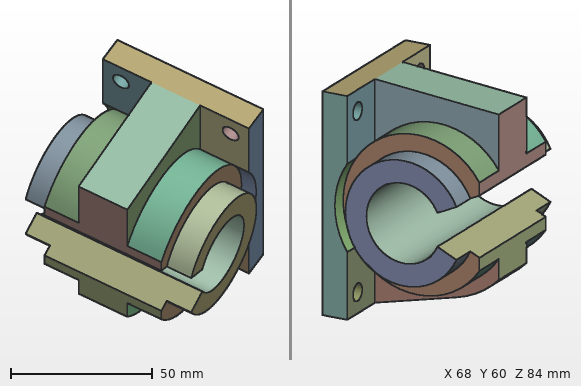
import cadquery as cq
import math


depth = 60.0
axis_to_back = 35.0

plate_width = 60.0
plate_height = 84.0
plate_thickness = 10.0
plate_hole_diameter = 6.6
plate_hole_spacing_x = 45.0
plate_hole_spacing_z = 68.0

bore_radius = 15.0
sleeve_radius = 23.5
sleeve_length = 68.0
collar_radius = 30.0
collar_length = 48.0
slot_half_angle = math.radians(25.0)

web_width = 20.0
web_top_slope = math.radians(5.0)
web_nose_radius = 35.0

screw_hole_diameter = 13.0

back_y = axis_to_back
plate_front_y = back_y - plate_thickness
front_y = back_y - depth
plate_half_height = plate_height / 2


def x_prism(sketch, length):
    """Extrude a YZ-plane outline symmetrically about the X = 0 plane."""
    return sketch.extrude(length / 2, both=True)


def x_cylinder(radius, length):
    return x_prism(cq.Workplane("YZ").circle(radius), length)


def make_plate():
    plate = cq.Workplane("XY").box(plate_width, plate_thickness, plate_height)
    return plate.translate((0, back_y - plate_thickness / 2, 0))


def nose_point(angle):
    return (web_nose_radius * math.cos(angle), web_nose_radius * math.sin(angle))


def make_web():
    """Web with a gently falling top and an underside tangent to a round nose."""
    top_front_z = plate_half_height - (plate_front_y - front_y) * math.tan(web_top_slope)

    corner_distance = math.hypot(plate_front_y, plate_half_height)
    corner_angle = math.atan2(-plate_half_height, plate_front_y)
    tangent_angle = corner_angle - math.acos(web_nose_radius / corner_distance)
    nose_end_angle = -math.pi + math.acos(-front_y / web_nose_radius)
    nose_middle_angle = (tangent_angle + nose_end_angle) / 2

    outline = (
        cq.Workplane("YZ")
        .moveTo(plate_front_y, plate_half_height)
        .lineTo(front_y, top_front_z)
        .lineTo(*nose_point(nose_end_angle))
        .threePointArc(nose_point(nose_middle_angle), nose_point(tangent_angle))
        .lineTo(plate_front_y, -plate_half_height)
        .close()
    )
    return x_prism(outline, web_width)


def make_collar():
    """Collar around the sleeve, cut flat at the front of the bracket."""
    envelope = cq.Workplane("XY").box(collar_length, depth, plate_height)
    envelope = envelope.translate((0, back_y - depth / 2, 0))
    return x_cylinder(collar_radius, collar_length).intersect(envelope)


def make_slot():
    """Wedge with its apex on the bore axis, opening past the front face."""
    reach = 2 * abs(front_y)
    half_opening = reach * math.tan(slot_half_angle)
    corners = [(0, 0), (-reach, half_opening), (-reach, -half_opening)]
    outline = cq.Workplane("YZ").polyline(corners).close()
    return x_prism(outline, sleeve_length)


def make_plate_holes():
    return (
        cq.Workplane("XZ", origin=(0, back_y, 0))
        .rarray(plate_hole_spacing_x, plate_hole_spacing_z, 2, 2)
        .circle(plate_hole_diameter / 2)
        .extrude(plate_thickness)
    )


def make_screw_hole():
    """Vertical hole below the bore axis."""
    return cq.Workplane("XY").circle(screw_hole_diameter / 2).extrude(-plate_half_height)


housing = (
    make_plate()
    .cut(x_cylinder(collar_radius, plate_width))
    .union(make_web())
    .union(make_collar())
    .cut(make_plate_holes())
    .cut(make_screw_hole())
)

result = (
    housing
    .union(x_cylinder(sleeve_radius, sleeve_length))
    .cut(x_cylinder(bore_radius, sleeve_length))
    .cut(make_slot())
)